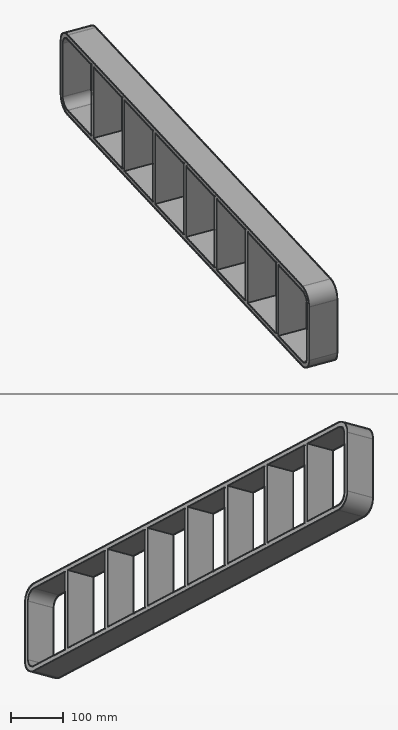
import cadquery as cq

length = 1054.0
depth = 60.0
height = 179.0
wall = 10.0
corner_radius = 30.0
inner_radius = corner_radius - wall

divider_count = 7
divider_thickness = 10.0
inner_length = length - 2 * wall
inner_height = height - 2 * wall
opening_width = (inner_length - divider_count * divider_thickness) / (divider_count + 1)
divider_pitch = opening_width + divider_thickness


def rounded_block(size_x, size_z, radius):
    """Block centred on the origin with its edges along Y rounded."""
    return cq.Workplane("XY").box(size_x, depth, size_z).edges("|Y").fillet(radius)


result = rounded_block(length, height, corner_radius).cut(
    rounded_block(inner_length, inner_height, inner_radius)
)

for index in range(divider_count):
    x = (index - (divider_count - 1) / 2) * divider_pitch
    divider = cq.Workplane("XY").box(divider_thickness, depth, inner_height + wall)
    result = result.union(divider.translate((x, 0, 0)))